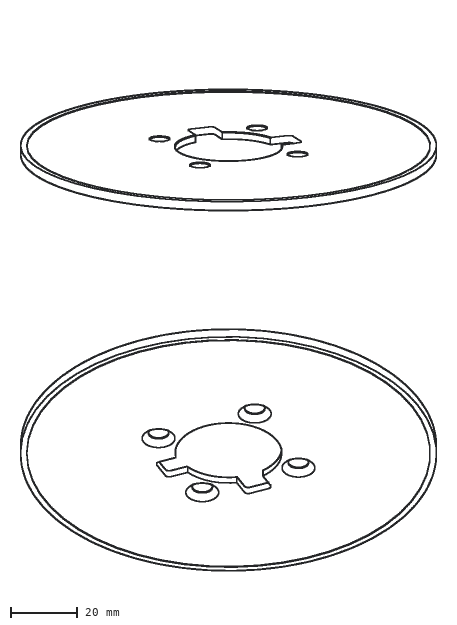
import cadquery as cq

outer_diameter = 125.0
rim_inner_diameter = 121.2
rim_thickness = 3.0
rim_face_drop = 0.1
rim_fillet = 0.1

disc_recess = 0.4
disc_bottom = disc_recess
disc_top = rim_thickness - disc_recess
disc_thickness = disc_top - disc_bottom

bore_diameter = 32.0
bore_chamfer = 0.2
slot_width = 8.6
slot_reach = 22.2
slot_corner_radius = 1.2
slot_angles = (90, 180)

hole_diameter = 6.1
hole_spacing = 31.8
countersink_land = 0.4


def revolve_about_z(profile):
    """Solid of revolution from a list of (radius, height) points."""
    return cq.Workplane("XZ").polyline(profile).close().revolve(360, (0, 0, 0), (0, 1, 0))


def key_slot(angle):
    """Radial slot from the disc centre, with rounded outer corners."""
    block = cq.Workplane("XY").workplane(offset=disc_bottom).box(
        slot_reach, slot_width, disc_thickness, centered=(False, True, False)
    )
    rounded = block.edges("|Z and >X").fillet(slot_corner_radius)
    return rounded.rotate((0, 0, 0), (0, 0, 1), angle)


def countersunk_hole(x, y):
    """Through hole with a 90 degree countersink opening at the underside."""
    hole_radius = hole_diameter / 2
    sink_depth = disc_thickness - countersink_land
    profile = [
        (0, disc_bottom),
        (hole_radius + sink_depth, disc_bottom),
        (hole_radius, disc_bottom + sink_depth),
        (hole_radius, disc_top),
        (0, disc_top),
    ]
    return revolve_about_z(profile).translate((x, y, 0))


def make_disc():
    """Flat disc with the chamfered, keyed bore and the four mounting holes."""
    disc = (
        cq.Workplane("XY")
        .workplane(offset=disc_bottom)
        .circle(rim_inner_diameter / 2)
        .circle(bore_diameter / 2)
        .extrude(disc_thickness)
    )
    bore_edge = cq.selectors.RadiusNthSelector(0)
    disc = disc.faces(">Z").edges(bore_edge).chamfer(bore_chamfer)
    for angle in slot_angles:
        disc = disc.cut(key_slot(angle))
    for x in (-hole_spacing / 2, hole_spacing / 2):
        for y in (-hole_spacing / 2, hole_spacing / 2):
            disc = disc.cut(countersunk_hole(x, y))
    return disc


def make_rim():
    """Ring around the disc, slightly thicker outward, with rounded outer edges."""
    inner_radius = rim_inner_diameter / 2
    outer_radius = outer_diameter / 2
    profile = [
        (inner_radius, rim_face_drop),
        (outer_radius, 0),
        (outer_radius, rim_thickness),
        (inner_radius, rim_thickness - rim_face_drop),
    ]
    outer_edges = cq.selectors.RadiusNthSelector(-1)
    return revolve_about_z(profile).edges("%CIRCLE").edges(outer_edges).fillet(rim_fillet)


disc = make_disc()
rim = make_rim()
result = cq.Compound.makeCompound([disc.val(), rim.val()])